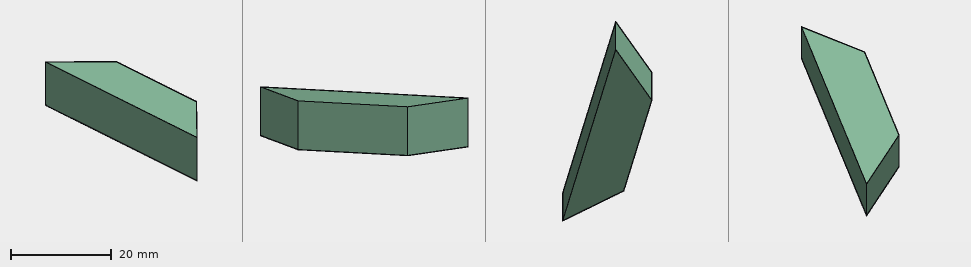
import cadquery as cq

length = 42.3
side = 10.0
miter = side

half_length = length / 2
half_short_length = half_length - miter
half_side = side / 2

outline = [
    (-half_length, -half_side),
    (half_length, -half_side),
    (half_short_length, half_side),
    (-half_short_length, half_side),
]

result = (
    cq.Workplane("XY")
    .workplane(offset=-half_side)
    .polyline(outline)
    .close()
    .extrude(side)
)